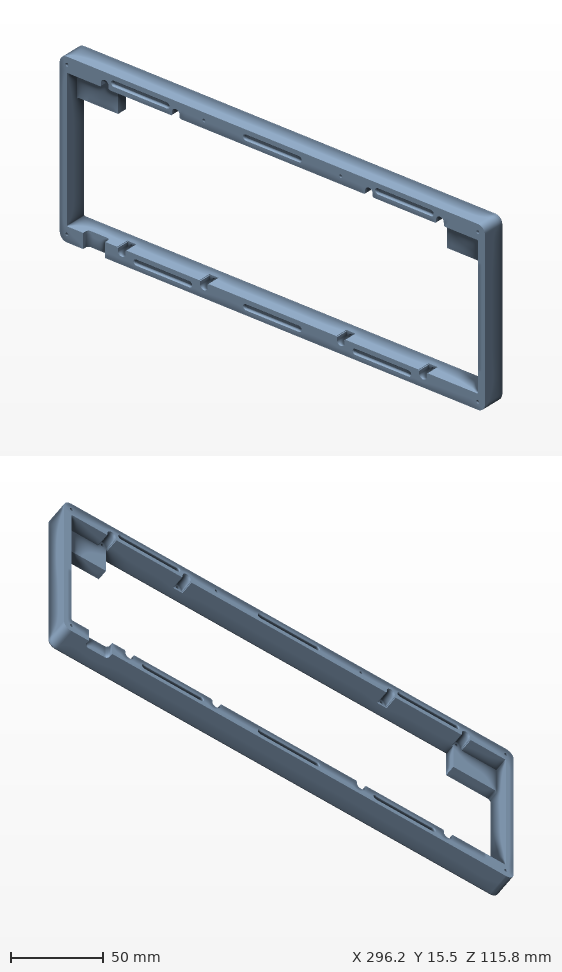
import cadquery as cq

LENGTH = 296.2
THICKNESS = 15.5
HEIGHT = 115.8
CORNER_RADIUS = 5.0
BACK_FILLET = 1.0

END_WALL = 5.0
RAIL_HEIGHT = 2 * END_WALL
OPENING_LENGTH = LENGTH - 2 * END_WALL
OPENING_HEIGHT = HEIGHT - 2 * RAIL_HEIGHT
OPENING_FILLET = 0.5

GRID_COLUMNS = 15
PITCH = OPENING_LENGTH / GRID_COLUMNS

PAD_LENGTH = 1.5 * PITCH
PAD_HEIGHT = PITCH
PAD_FILLET = 1.2
PAD_OVERLAP = 1.5

NOTCH_WIDTH = 5.3
NOTCH_DEPTH = 8.5
NOTCH_FLARE = 0.5
NOTCH_SETBACK = 2.5
UPPER_NOTCH_X = (67.2, 116.7)
LOWER_NOTCH_X = (2.5 * PITCH, 5.5 * PITCH)

HOLE_DIAMETER = 2.0
HOLE_DEPTH = 5.0
CORNER_HOLE_X = OPENING_LENGTH / 2
MIDDLE_HOLE_X = 2.5 * PITCH
HOLE_INSET = RAIL_HEIGHT / 2

SLOT_LENGTH = 41.0
SLOT_WIDTH = 3.9
SLOT_DEPTH = 2.0
SLOT_CHAMFER = 0.5
CHAMFER_ANGLE = 45

RECESS_LEFT = -131.8
RECESS_RIGHT = -116.5
RECESS_DEPTH = 4.0
RECESS_FILLET = 2.0

FRONT_Y = -THICKNESS / 2
NOTCH_FLOOR_Y = FRONT_Y + NOTCH_DEPTH
NOTCH_Z = OPENING_HEIGHT / 2 + NOTCH_SETBACK
HOLE_Z = HEIGHT / 2 - HOLE_INSET


def block(x_min, x_max, y_min, y_max, z_min, z_max):
    size = (x_max - x_min, y_max - y_min, z_max - z_min)
    return cq.Workplane("XY").box(*size, centered=False).translate((x_min, y_min, z_min))


def plane_at(y):
    """Workplane at depth y whose local axes are X and Z; positive extrusion goes to -Y."""
    return cq.Workplane("XZ", origin=(0, y, 0))


def mirrored(positions):
    return [sign * x for x in positions for sign in (-1, 1)]


def make_frame():
    """Rounded rectangular frame whose outer and inner back edges are filleted."""
    frame = block(-LENGTH / 2, LENGTH / 2, FRONT_Y, -FRONT_Y, -HEIGHT / 2, HEIGHT / 2)
    frame = frame.edges("|Y").fillet(CORNER_RADIUS)
    return frame.cut(make_opening()).faces(">Y").edges().fillet(BACK_FILLET)


def make_opening():
    opening = block(
        -OPENING_LENGTH / 2, OPENING_LENGTH / 2,
        FRONT_Y, -FRONT_Y,
        -OPENING_HEIGHT / 2, OPENING_HEIGHT / 2,
    )
    return opening.edges("|Y").fillet(OPENING_FILLET)


def make_pad(side):
    """Pad from the notch floor to the back face, with a filleted root on the end wall."""
    wall_x = side * OPENING_LENGTH / 2
    free_x = side * (OPENING_LENGTH / 2 - PAD_LENGTH)
    top_z = OPENING_HEIGHT / 2
    bottom_z = top_z - PAD_HEIGHT
    back_y = -FRONT_Y
    return (
        plane_at(back_y)
        .moveTo(wall_x + side * PAD_OVERLAP, top_z + PAD_OVERLAP)
        .lineTo(free_x, top_z + PAD_OVERLAP)
        .lineTo(free_x, bottom_z)
        .lineTo(wall_x - side * PAD_FILLET, bottom_z)
        .radiusArc((wall_x, bottom_z - PAD_FILLET), side * PAD_FILLET)
        .lineTo(wall_x + side * PAD_OVERLAP, bottom_z - PAD_FILLET)
        .close()
        .extrude(THICKNESS - NOTCH_DEPTH)
    )


def make_notch(x, side):
    """U-shaped notch with a flared mouth on the upper (side = 1) or lower (side = -1) rail."""
    half = NOTCH_WIDTH / 2
    edge = OPENING_HEIGHT / 2
    return (
        plane_at(NOTCH_FLOOR_Y)
        .moveTo(x - half - NOTCH_FLARE, side * edge)
        .radiusArc((x - half, side * (edge + NOTCH_FLARE)), side * NOTCH_FLARE)
        .lineTo(x - half, side * NOTCH_Z)
        .threePointArc((x, side * (NOTCH_Z + half)), (x + half, side * NOTCH_Z))
        .lineTo(x + half, side * (edge + NOTCH_FLARE))
        .radiusArc((x + half + NOTCH_FLARE, side * edge), side * NOTCH_FLARE)
        .close()
        .extrude(NOTCH_DEPTH)
    )


def make_holes(points, surface_y):
    return plane_at(surface_y).pushPoints(points).circle(HOLE_DIAMETER / 2).extrude(-HOLE_DEPTH)


def make_slots(points):
    """Round-ended slots whose mouths are chamfered."""
    floor_length = SLOT_LENGTH - 2 * SLOT_CHAMFER
    floor_width = SLOT_WIDTH - 2 * SLOT_CHAMFER
    bodies = plane_at(FRONT_Y).pushPoints(points).slot2D(floor_length, floor_width).extrude(-SLOT_DEPTH)
    mouths = (
        plane_at(FRONT_Y)
        .pushPoints(points)
        .slot2D(SLOT_LENGTH, SLOT_WIDTH)
        .extrude(-SLOT_CHAMFER, taper=CHAMFER_ANGLE)
    )
    return bodies.union(mouths)


def make_recess():
    """Recess through the full height of the lower rail, with filleted floor corners."""
    floor_y = FRONT_Y + RECESS_DEPTH
    z_min = -HEIGHT / 2
    recess = block(RECESS_LEFT, RECESS_RIGHT, FRONT_Y, floor_y, z_min, z_min + RAIL_HEIGHT)
    return recess.faces(">Y").edges("|Z").fillet(RECESS_FILLET)


result = make_frame()
for pad_side in (-1, 1):
    result = result.union(make_pad(pad_side))

notch_points = []
for notch_side, distances in ((1, UPPER_NOTCH_X), (-1, LOWER_NOTCH_X)):
    for notch_x in mirrored(distances):
        result = result.cut(make_notch(notch_x, notch_side))
        notch_points.append((notch_x, notch_side * NOTCH_Z))
result = result.cut(make_holes(notch_points, NOTCH_FLOOR_Y))

upper_hole_x = mirrored((MIDDLE_HOLE_X, CORNER_HOLE_X))
lower_hole_x = mirrored((CORNER_HOLE_X,))
face_holes = [(x, HOLE_Z) for x in upper_hole_x] + [(x, -HOLE_Z) for x in lower_hole_x]
result = result.cut(make_holes(face_holes, FRONT_Y))

upper_slot_x = sum(UPPER_NOTCH_X) / 2
lower_slot_x = sum(LOWER_NOTCH_X) / 2
slot_points = [(x, HOLE_Z) for x in (-upper_slot_x, 0, upper_slot_x)]
slot_points += [(x, -HOLE_Z) for x in (-lower_slot_x, 0, lower_slot_x)]
result = result.cut(make_slots(slot_points))

result = result.cut(make_recess())